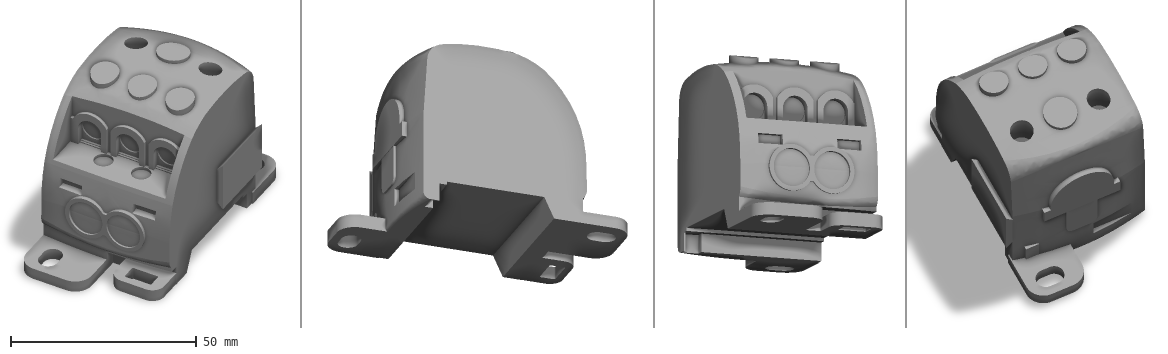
import cadquery as cq

LEFT_X = -20.3
RIGHT_X = 19.5
SKY = 74.5

SLOT_TOP = 5.95
SLOT_STEP_TOP = 5.1
SLOT_BACK = 18.3
SLOT_STEP_BACK = 16.25
SLOT_FRONT_TOP = -11.8
SLOT_FRONT_BOTTOM = -14.6
NOTCH_LEFT = -19.8
NOTCH_RIGHT = -15.2
NOTCH_BACK = 20.6

FOOT_END = 37.25
FOOT_RADIUS = 5.1
FOOT_SLOT_LENGTH = 8.05
FOOT_SLOT_WIDTH = 5.5
FOOT_ROOT = 20.85
FRONT_SLOT_X = -13.6
FRONT_SLOT_Y = -30.7
REAR_SLOT_X = 12.75
REAR_SLOT_Y = 32.0
FRONT_FOOT_HEIGHT = 3.4
REAR_FOOT_HEIGHT = 3.8
REAR_FOOT_LEFT = 3.2
REAR_FOOT_RIGHT = 19.9
CLIP_HEIGHT = 3.65
CLIP_LEFT = 4.3
CLIP_RIGHT = 19.45
CLIP_END = -30.4
CLIP_RADIUS = 3.65
CLIP_WINDOW_LEFT = 8.0
CLIP_WINDOW_RIGHT = 16.0
CLIP_WINDOW_FRONT = -28.3
CLIP_WINDOW_BACK = -23.85
CLIP_WINDOW_RADIUS = 0.45
CLIP_RECESS_WALL = -20.1
CLIP_NECK_FRONT = -20.4

TERMINAL_PITCH = 11.7
RECESS_LEFT = -17.7
RECESS_RIGHT = 17.1
RECESS_FLOOR = 29.35
RECESS_WALL = -11.7
FRAME_THICKNESS = 1.0
FRAME_HALF_WIDTH = 5.2
FRAME_RADIUS = 5.9
ENTRY_RADIUS = 3.6
ENTRY_AXIS_Z = 34.8
ENTRY_SILL = 29.9
ENTRY_STEP_Y = -11.2
ENTRY_STEP_Z = 29.65
ENTRY_DEPTH = 2.1
ENTRY_BORE_DEPTH = 0.45
FLOOR_HOLE_RADIUS = 2.75
FLOOR_HOLE_Y = -15.4
FLOOR_HOLE_DEPTH = 1.0

CAP_RISE = 1.05
SCREW_CAP_RADIUS = 3.95
SCREW_CAP_Y = -4.4
REAR_ROW_Y = 12.4
REAR_CAP_RADIUS = 4.6
TOP_HOLE_SPACING = 11.55
TOP_HOLE_RADIUS = 3.2
TOP_HOLE_FLOOR = 40.2
CAP_ROOT = 43.2

RING_RADIUS = 6.4
RING_BORE_RADIUS = 5.2
RING_Z = 16.0
RING_FACE = -25.2
RING_WEB_HALF_WIDTH = 0.5
RING_WEB_HALF_HEIGHT = 3.6
LABEL_X = 11.4
LABEL_Z = 23.7
LABEL_WIDTH = 7.0
LABEL_HEIGHT = 2.8
LABEL_FLOOR = -21.6

BACK_ROOT = 22.35
BACK_ARCH_FACE = 25.9
BACK_ARCH_RADIUS = 9.5
BACK_ARCH_TOP = 37.0
BACK_ARCH_BOTTOM = 22.0
BACK_EAR_HALF_WIDTH = 11.4
BACK_EAR_TOP = 26.3
BACK_PLATE_FACE = 25.8
BACK_PLATE_HALF_WIDTH = 4.6
BACK_PLATE_BOTTOM = 11.2
BACK_PLATE_RADIUS = 2.15
BACK_TAB_LEFT = 12.45
BACK_TAB_RIGHT = 16.3
BACK_TAB_BOTTOM = 4.5
BACK_TAB_TOP = 9.5
BACK_TAB_FACE = 24.65
BACK_NOTCH_LEFT = -16.4
BACK_NOTCH_RIGHT = -3.7
BACK_NOTCH_FLOOR = 23.85

DOVETAIL_X = 21.45
DOVETAIL_BACK = 23.0
DOVETAIL_FRONT = 1.7
DOVETAIL_Z = 18.9
DOVETAIL_ROOT_HEIGHT = 10.8
DOVETAIL_OUTER_HEIGHT = 14.75


def box(x0, x1, y0, y1, z0, z1):
    return cq.Workplane("XY").box(x1 - x0, y1 - y0, z1 - z0, centered=False).translate((x0, y0, z0))


def pin(x, y, radius, z0, z1):
    """Vertical cylinder between two heights."""
    return cq.Workplane("XY", origin=(x, y, z0)).circle(radius).extrude(z1 - z0)


def bar(x, z, radius, y0, y1):
    """Cylinder along Y between two depths."""
    return cq.Workplane("XZ", origin=(x, y0, z)).circle(radius).extrude(y0 - y1)


def trace_side(outline):
    """Housing outline in (Y, Z) at either flat side."""
    return (
        outline.moveTo(-22.9, 0)
        .lineTo(-22.9, 7.3)
        .threePointArc((-23.7, 8.4), (-24.1, 9.9))
        .lineTo(-23.9, 16.3)
        .threePointArc((-23.55, 22.35), (-22.35, 28.0))
        .threePointArc((-18.25, 36.6), (-11.8, 43.7))
        .threePointArc((-8.35, 45.75), (-4.4, 47.15))
        .threePointArc((5.95, 48.0), (16.8, 46.85))
        .lineTo(17.7, 46.6)
        .threePointArc((20.6, 44.85), (21.9, 41.8))
        .lineTo(22.95, 25.85)
        .lineTo(22.95, 2.15)
        .threePointArc((22.4, 0.6), (21.15, 0))
        .close()
    )


def trace_crest(outline):
    """Housing outline in (Y, Z) at the crest, with the same run of edges as the side."""
    return (
        outline.moveTo(-23.9, 0)
        .lineTo(-23.9, 6.3)
        .threePointArc((-24.6, 7.0), (-24.8, 8.0))
        .lineTo(-24.6, 16.3)
        .threePointArc((-24.1, 22.35), (-22.65, 28.0))
        .threePointArc((-18.4, 37.1), (-11.8, 45.2))
        .threePointArc((-8.35, 47.45), (-4.4, 48.9))
        .threePointArc((4.5, 49.5), (16.8, 48.3))
        .lineTo(22.1, 47.4)
        .threePointArc((23.3, 46.6), (23.8, 45.0))
        .lineTo(25.25, 25.85)
        .lineTo(25.25, 0.7)
        .threePointArc((25.0, 0.2), (24.6, 0))
        .close()
    )


def housing():
    sections = trace_side(cq.Workplane("YZ", origin=(LEFT_X, 0, 0)))
    sections = trace_crest(sections.workplane(offset=-LEFT_X))
    sections = trace_side(sections.workplane(offset=RIGHT_X))
    return sections.loft(combine=True)


def rail_slot():
    return (
        cq.Workplane("YZ", origin=(LEFT_X, 0, 0))
        .moveTo(SLOT_FRONT_BOTTOM, 0)
        .lineTo(SLOT_FRONT_TOP, SLOT_TOP)
        .lineTo(SLOT_STEP_BACK, SLOT_TOP)
        .lineTo(SLOT_STEP_BACK, SLOT_STEP_TOP)
        .lineTo(SLOT_BACK, SLOT_STEP_TOP)
        .lineTo(SLOT_BACK, 0)
        .close()
        .extrude(RIGHT_X - LEFT_X)
    )


def foot_slot(x, y, angle):
    return (
        cq.Workplane("XY", origin=(x, y, 0))
        .slot2D(FOOT_SLOT_LENGTH, FOOT_SLOT_WIDTH, angle)
        .extrude(REAR_FOOT_HEIGHT)
    )


def front_foot():
    plate = box(LEFT_X, 0, -FOOT_END, -FOOT_ROOT, 0, FRONT_FOOT_HEIGHT)
    return plate.edges("|Z and <Y").fillet(FOOT_RADIUS).cut(foot_slot(FRONT_SLOT_X, FRONT_SLOT_Y, 90))


def rear_foot():
    plate = box(REAR_FOOT_LEFT, REAR_FOOT_RIGHT, FOOT_ROOT, FOOT_END, 0, REAR_FOOT_HEIGHT)
    return plate.edges("|Z and >Y").fillet(FOOT_RADIUS).cut(foot_slot(REAR_SLOT_X, REAR_SLOT_Y, 0))


def clip_foot():
    plate = box(CLIP_LEFT, CLIP_RIGHT, CLIP_END, CLIP_RECESS_WALL, 0, CLIP_HEIGHT)
    plate = plate.edges("|Z and <Y").fillet(CLIP_RADIUS)
    window = box(
        CLIP_WINDOW_LEFT, CLIP_WINDOW_RIGHT, CLIP_WINDOW_FRONT, CLIP_WINDOW_BACK, 0, CLIP_HEIGHT
    )
    neck = box(0, RIGHT_X, CLIP_NECK_FRONT, CLIP_RECESS_WALL, 0, CLIP_HEIGHT)
    return plate.union(neck).cut(window.edges("|Z").fillet(CLIP_WINDOW_RADIUS))


def cap(x, y, radius):
    """Low disc whose top follows the crest of the housing."""
    raised = trace_crest(cq.Workplane("YZ", origin=(LEFT_X, 0, CAP_RISE))).extrude(RIGHT_X - LEFT_X)
    return pin(x, y, radius, CAP_ROOT, SKY).intersect(raised)


def terminal_frames():
    """Arched frames standing on the recess wall; the outer two reach the recess sides."""
    face = RECESS_WALL - FRAME_THICKNESS
    shoulder_z = ENTRY_AXIS_Z + (FRAME_RADIUS**2 - FRAME_HALF_WIDTH**2) ** 0.5
    frames = cq.Workplane("XY")
    for x in (-TERMINAL_PITCH, 0, TERMINAL_PITCH):
        left = RECESS_LEFT if x < 0 else x - FRAME_HALF_WIDTH
        right = RECESS_RIGHT if x > 0 else x + FRAME_HALF_WIDTH
        band = box(x - FRAME_HALF_WIDTH, x + FRAME_HALF_WIDTH, face, RECESS_WALL, RECESS_FLOOR, SKY)
        frames = frames.add(bar(x, ENTRY_AXIS_Z, FRAME_RADIUS, face, RECESS_WALL).intersect(band))
        frames = frames.add(box(left, right, face, RECESS_WALL, RECESS_FLOOR, shoulder_z))
    return frames.combine()


def terminal_entry(x):
    """Arched opening over a stepped sill, with a shallow round bore in its back wall."""
    face = RECESS_WALL - FRAME_THICKNESS
    back = face + ENTRY_DEPTH
    left = x - ENTRY_RADIUS
    right = x + ENTRY_RADIUS
    entry = bar(x, ENTRY_AXIS_Z, ENTRY_RADIUS, face, back + ENTRY_BORE_DEPTH)
    treads = ((RECESS_WALL, RECESS_FLOOR), (ENTRY_STEP_Y, ENTRY_STEP_Z), (back, ENTRY_SILL))
    for tread_back, tread_z in treads:
        entry = entry.union(box(left, right, face, tread_back, tread_z, ENTRY_AXIS_Z))
    return entry


def ring_pair():
    web = box(
        -RING_WEB_HALF_WIDTH, RING_WEB_HALF_WIDTH, RING_FACE, LABEL_FLOOR,
        RING_Z - RING_WEB_HALF_HEIGHT, RING_Z + RING_WEB_HALF_HEIGHT,
    )
    for side in (-1, 1):
        web = web.union(bar(side * TERMINAL_PITCH / 2, RING_Z, RING_RADIUS, RING_FACE, LABEL_FLOOR))
    for side in (-1, 1):
        web = web.cut(bar(side * TERMINAL_PITCH / 2, RING_Z, RING_BORE_RADIUS, RING_FACE, LABEL_FLOOR))
    return web


def back_pads():
    arch = bar(0, BACK_ARCH_TOP - BACK_ARCH_RADIUS, BACK_ARCH_RADIUS, BACK_ROOT, BACK_ARCH_FACE)
    arch = arch.intersect(
        box(LEFT_X, RIGHT_X, BACK_ROOT, BACK_ARCH_FACE, BACK_ARCH_BOTTOM, BACK_ARCH_TOP)
    )
    ears = box(
        -BACK_EAR_HALF_WIDTH, BACK_EAR_HALF_WIDTH, BACK_ROOT, BACK_ARCH_FACE,
        BACK_ARCH_BOTTOM, BACK_EAR_TOP,
    )
    plate = box(
        -BACK_PLATE_HALF_WIDTH, BACK_PLATE_HALF_WIDTH, BACK_ROOT, BACK_PLATE_FACE,
        BACK_PLATE_BOTTOM, BACK_ARCH_BOTTOM,
    )
    plate = plate.edges("|Y and <Z").fillet(BACK_PLATE_RADIUS)
    tab = box(
        BACK_TAB_LEFT, BACK_TAB_RIGHT, BACK_ROOT, BACK_TAB_FACE, BACK_TAB_BOTTOM, BACK_TAB_TOP
    )
    return arch.union(ears).union(plate).union(tab)


def dovetail():
    root = DOVETAIL_ROOT_HEIGHT / 2
    outer = DOVETAIL_OUTER_HEIGHT / 2
    return (
        cq.Workplane("XZ", origin=(0, DOVETAIL_BACK, DOVETAIL_Z))
        .polyline([(RIGHT_X, -root), (DOVETAIL_X, -outer), (DOVETAIL_X, outer), (RIGHT_X, root)])
        .close()
        .extrude(DOVETAIL_BACK - DOVETAIL_FRONT)
    )


body = housing().cut(rail_slot())
body = body.cut(box(NOTCH_LEFT, NOTCH_RIGHT, SLOT_STEP_BACK, NOTCH_BACK, 0, SLOT_STEP_TOP))
body = body.cut(box(0, RIGHT_X, -FOOT_END, CLIP_RECESS_WALL, 0, SLOT_TOP))
body = body.union(front_foot()).union(rear_foot()).union(clip_foot())

body = body.cut(box(RECESS_LEFT, RECESS_RIGHT, -FOOT_END, RECESS_WALL, RECESS_FLOOR, SKY))
body = body.union(terminal_frames())
for x in (-TERMINAL_PITCH, 0, TERMINAL_PITCH):
    body = body.cut(terminal_entry(x))
for x in (-TERMINAL_PITCH / 2, TERMINAL_PITCH / 2):
    body = body.cut(pin(x, FLOOR_HOLE_Y, FLOOR_HOLE_RADIUS, RECESS_FLOOR - FLOOR_HOLE_DEPTH, RECESS_FLOOR))

for x in (-TERMINAL_PITCH, 0, TERMINAL_PITCH):
    body = body.union(cap(x, SCREW_CAP_Y, SCREW_CAP_RADIUS))
body = body.union(cap(0, REAR_ROW_Y, REAR_CAP_RADIUS))
for x in (-TOP_HOLE_SPACING, TOP_HOLE_SPACING):
    body = body.cut(pin(x, REAR_ROW_Y, TOP_HOLE_RADIUS, TOP_HOLE_FLOOR, SKY))

for side in (-1, 1):
    label = cq.Workplane("XY").box(LABEL_WIDTH, FOOT_END, LABEL_HEIGHT)
    body = body.cut(label.translate((side * LABEL_X, LABEL_FLOOR - FOOT_END / 2, LABEL_Z)))
body = body.union(ring_pair())

body = body.cut(
    box(
        BACK_NOTCH_LEFT, BACK_NOTCH_RIGHT, BACK_NOTCH_FLOOR, BACK_ARCH_FACE,
        BACK_TAB_BOTTOM, BACK_TAB_TOP,
    )
)
result = body.union(back_pads()).union(dovetail())